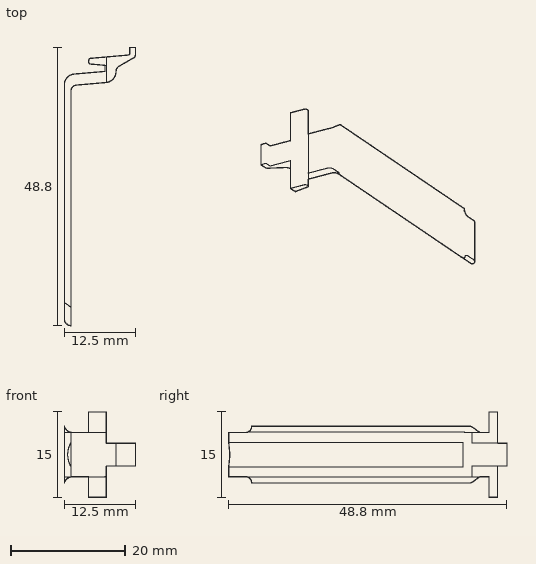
import cadquery as cq
import math

TOTAL_LENGTH = 48.8
TOTAL_DEPTH = 12.5

STRIP_THICKNESS = 1.2
STRIP_HEIGHT = 10.0
OUTER_BEND_RADIUS = 1.9
INNER_BEND_RADIUS = 1.0
BEND_START_Y = 42.25
FLANK_RADIUS = 1.5

SLOPE_ANGLE = math.radians(5)
ARM_THICKNESS = 2.0
ARM_HEIGHT = 7.8
NECK_X = 7.38
SLOT_END_X = 7.1

HOOK_HEIGHT = 4.0
HOOK_LIP_WIDTH = 1.05
HOOK_LIP_LENGTH = 1.3
HOOK_THROAT_X = 9.1
HOOK_UNDERSIDE_ANGLE = math.radians(30)
HOOK_CORNER_DROP = 1.65
HOOK_HEEL_RADIUS = 1.95
HOOK_THROAT_RADIUS = 1.0
HOOK_CORNER_RADIUS = 0.6
HOOK_LIP_ROOT_RADIUS = 0.2
HOOK_LIP_END_RADIUS = 0.12

TAB_HEIGHT = 15.0
TAB_END_X = 4.25
TAB_ROOT_THICKNESS = 1.48
TAB_END_RADIUS = 0.43

TIP_RADIUS = 1.199
NOTCH_LENGTH = 3.0
NOTCH_RADIUS = 1.0

GROOVE_DEPTH = 0.6
GROOVE_WIDTH = 4.3

LIP_X = TOTAL_DEPTH - HOOK_LIP_WIDTH
LIP_ROOT_Y = TOTAL_LENGTH - HOOK_LIP_LENGTH
SLOPE = math.tan(SLOPE_ANGLE)


def upper_y(x):
    """Sloping line shared by the hook and the tab."""
    return LIP_ROOT_Y - SLOPE * (LIP_X - x)


def tab_lower_y(x):
    """Lower face of the tab, which tapers towards its free end."""
    root_y = upper_y(SLOT_END_X) - TAB_ROOT_THICKNESS
    return root_y + SLOPE * (SLOT_END_X - x)


def arm_upper_y(x):
    """Arm face tangent to the outer bend."""
    axis_y = BEND_START_Y + OUTER_BEND_RADIUS / math.cos(SLOPE_ANGLE)
    return axis_y + SLOPE * (x - OUTER_BEND_RADIUS)


def arm_lower_y(x):
    """Arm face towards the strip tip, parallel to the upper one."""
    return arm_upper_y(x) - ARM_THICKNESS / math.cos(SLOPE_ANGLE)


def hook_underside_y(x):
    """Inclined hook face that meets the +X side at the sharp corner."""
    corner_y = TOTAL_LENGTH - HOOK_CORNER_DROP
    return corner_y - math.tan(HOOK_UNDERSIDE_ANGLE) * (TOTAL_DEPTH - x)


def prism(points, height):
    """Outline in the XY plane, extruded symmetrically about Z = 0."""
    return cq.Workplane("XY").polyline(points).close().extrude(height / 2, both=True)


def round_corner(body, corner, radius):
    """Round the Z edge that stands at the given XY corner."""
    edge = cq.selectors.NearestToPointSelector((corner[0], corner[1], 0))
    return body.edges("|Z").edges(edge).fillet(radius)


def make_bent_profile():
    """Strip, arm and hook as one outline, at the full strip height."""
    tip = (0, 0)
    inner_bend = (STRIP_THICKNESS, arm_lower_y(STRIP_THICKNESS))
    heel = (HOOK_THROAT_X, arm_lower_y(HOOK_THROAT_X))
    throat = (HOOK_THROAT_X, hook_underside_y(HOOK_THROAT_X))
    hook_corner = (TOTAL_DEPTH, hook_underside_y(TOTAL_DEPTH))
    lip_end = (LIP_X, TOTAL_LENGTH)
    lip_root = (LIP_X, LIP_ROOT_Y)
    outer_bend = (0, arm_upper_y(0))
    body = prism(
        [
            tip,
            (STRIP_THICKNESS, 0),
            inner_bend,
            heel,
            throat,
            hook_corner,
            (TOTAL_DEPTH, TOTAL_LENGTH),
            lip_end,
            lip_root,
            (SLOT_END_X, upper_y(SLOT_END_X)),
            (SLOT_END_X, arm_upper_y(SLOT_END_X)),
            outer_bend,
        ],
        STRIP_HEIGHT,
    )
    roundings = [
        (tip, TIP_RADIUS),
        (inner_bend, INNER_BEND_RADIUS),
        (heel, HOOK_HEEL_RADIUS),
        (throat, HOOK_THROAT_RADIUS),
        (hook_corner, HOOK_CORNER_RADIUS),
        (lip_end, HOOK_LIP_END_RADIUS),
        (lip_root, HOOK_LIP_ROOT_RADIUS),
        (outer_bend, OUTER_BEND_RADIUS),
    ]
    for corner, radius in roundings:
        body = round_corner(body, corner, radius)
    return body


def make_height_envelope():
    """Outline in the XZ plane that sets the height of strip, arm and hook."""
    strip_z = STRIP_HEIGHT / 2
    arm_z = ARM_HEIGHT / 2
    hook_z = HOOK_HEIGHT / 2
    flank_z = arm_z + FLANK_RADIUS
    flank_x = math.sqrt(FLANK_RADIUS**2 - (flank_z - strip_z) ** 2)
    end_angle = math.acos(flank_x / FLANK_RADIUS)
    mid_angle = (end_angle + math.pi / 2) / 2
    mid_x = flank_x - FLANK_RADIUS * math.cos(mid_angle)
    mid_z = flank_z - FLANK_RADIUS * math.sin(mid_angle)
    return (
        cq.Workplane("XZ")
        .moveTo(0, -strip_z)
        .threePointArc((mid_x, -mid_z), (flank_x, -arm_z))
        .lineTo(NECK_X, -arm_z)
        .lineTo(NECK_X, -hook_z)
        .lineTo(TOTAL_DEPTH, -hook_z)
        .lineTo(TOTAL_DEPTH, hook_z)
        .lineTo(NECK_X, hook_z)
        .lineTo(NECK_X, arm_z)
        .lineTo(flank_x, arm_z)
        .threePointArc((mid_x, mid_z), (0, strip_z))
        .close()
        .extrude(-TOTAL_LENGTH)
    )


def make_tab():
    """Tapered tab that crosses the arm and ends in a rounded edge."""
    upper_end = (TAB_END_X, upper_y(TAB_END_X))
    lower_end = (TAB_END_X, tab_lower_y(TAB_END_X))
    tab = prism(
        [
            upper_end,
            lower_end,
            (SLOT_END_X, tab_lower_y(SLOT_END_X)),
            (NECK_X, tab_lower_y(NECK_X)),
            (NECK_X, upper_y(NECK_X)),
        ],
        TAB_HEIGHT,
    )
    for corner in (upper_end, lower_end):
        tab = round_corner(tab, corner, TAB_END_RADIUS)
    return tab


def make_tip_notch(side):
    """Cutter that narrows the strip tip on the +Z (side = 1) or -Z (side = -1) edge."""
    floor_z = ARM_HEIGHT / 2
    top_z = STRIP_HEIGHT / 2
    arc_z = floor_z + NOTCH_RADIUS
    end_y = NOTCH_LENGTH + NOTCH_RADIUS
    mid_y = NOTCH_LENGTH + NOTCH_RADIUS * math.sin(math.pi / 4)
    mid_z = arc_z - NOTCH_RADIUS * math.cos(math.pi / 4)
    return (
        cq.Workplane("YZ")
        .moveTo(0, side * floor_z)
        .lineTo(NOTCH_LENGTH, side * floor_z)
        .threePointArc((mid_y, side * mid_z), (end_y, side * arc_z))
        .lineTo(end_y, side * top_z)
        .lineTo(0, side * top_z)
        .close()
        .extrude(STRIP_THICKNESS)
    )


def make_back_groove():
    """Round-bottomed groove from the tip to the start of the inner bend."""
    half_width = GROOVE_WIDTH / 2
    end_y = arm_lower_y(STRIP_THICKNESS) - INNER_BEND_RADIUS
    return (
        cq.Workplane("XZ")
        .moveTo(STRIP_THICKNESS, -half_width)
        .threePointArc((STRIP_THICKNESS - GROOVE_DEPTH, 0), (STRIP_THICKNESS, half_width))
        .close()
        .extrude(-end_y)
    )


result = make_bent_profile().intersect(make_height_envelope()).union(make_tab())
for z_side in (1, -1):
    result = result.cut(make_tip_notch(z_side))
result = result.cut(make_back_groove())